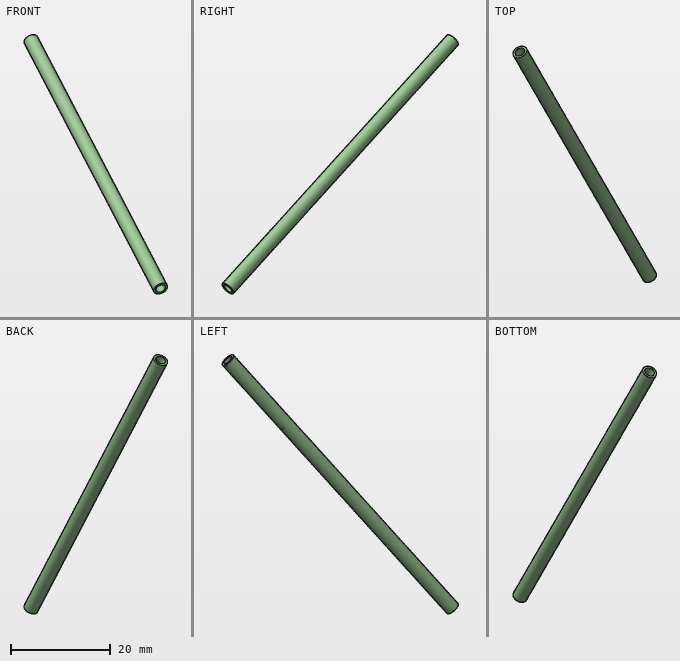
import cadquery as cq
import math

outer_diameter = 3.0
bore_diameter = 2.05
horizontal_run = 51.95
drop = 49.8
plan_angle = math.radians(-60)

axis_vector = cq.Vector(
    horizontal_run * math.cos(plan_angle),
    horizontal_run * math.sin(plan_angle),
    -drop,
)

upper_end = cq.Plane(origin=(axis_vector * -0.5).toTuple(), normal=axis_vector.toTuple())

result = (
    cq.Workplane(upper_end)
    .circle(outer_diameter / 2)
    .circle(bore_diameter / 2)
    .extrude(axis_vector.Length)
)